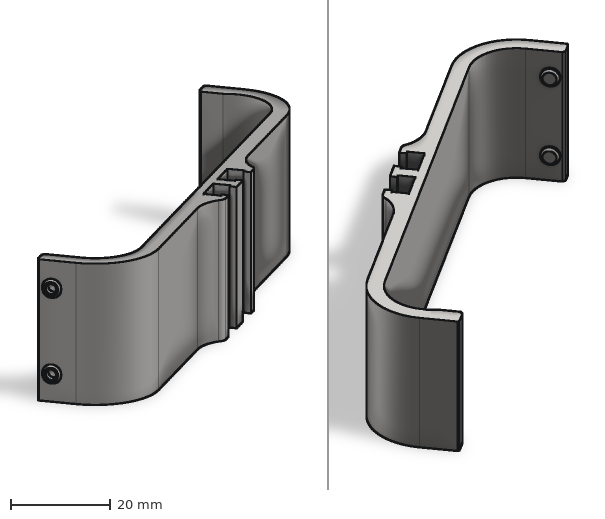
import cadquery as cq
import math

depth = 25.0
height = 30.0
total_length = 115.8
screw_tail = 0.5
half_length = (total_length - screw_tail) / 2

thickness = 3.6
wall_outer = 21.4
wall_inner = wall_outer - thickness
bend_radius = 13.3
bend_inner_radius = bend_radius - thickness
bend_start = wall_outer - bend_radius

pad_step = 0.5

outer_tip_chamfer = 0.3
inner_tip_chamfer = 0.6

slot_floor = 19.9
slot_near = 1.5
slot_far = 8.3
lip_start = 23.5
lip_overhang = 0.7
rail_flare_end = 24.0
rail_flare_half = 11.4
rail_face_half = 9.7
rail_flare_radius = 8.1
rail_nose_radius = 2.1

screw_diameter = 4.0
screw_x = 3.0
screw_edge_distance = 5.9
screw_head = 1.0
head_chamfer = 0.6
tail_end_diameter = 2.9
socket_diameter = 2.2
socket_depth = 1.7
socket_tip_angle = 90


def make_strip():
    """C-shaped strip: a flat wall with a rounded arm at each end."""
    bend_y = half_length - bend_radius
    diagonal = math.sqrt(0.5)
    outer_mid = bend_radius * diagonal
    inner_mid = bend_inner_radius * diagonal
    arm_inner = half_length - thickness
    pad_inner = arm_inner - pad_step
    pad_end = bend_start - math.sqrt(bend_inner_radius**2 - (bend_inner_radius - pad_step) ** 2)
    return (
        cq.Workplane("XY")
        .moveTo(outer_tip_chamfer, -half_length)
        .lineTo(bend_start, -half_length)
        .threePointArc((bend_start + outer_mid, -bend_y - outer_mid), (wall_outer, -bend_y))
        .lineTo(wall_outer, bend_y)
        .threePointArc((bend_start + outer_mid, bend_y + outer_mid), (bend_start, half_length))
        .lineTo(outer_tip_chamfer, half_length)
        .lineTo(0, half_length - outer_tip_chamfer)
        .lineTo(0, pad_inner + inner_tip_chamfer)
        .lineTo(inner_tip_chamfer, pad_inner)
        .lineTo(pad_end, pad_inner)
        .threePointArc((bend_start + inner_mid, bend_y + inner_mid), (wall_inner, bend_y))
        .lineTo(wall_inner, -bend_y)
        .threePointArc((bend_start + inner_mid, -bend_y - inner_mid), (bend_start, -arm_inner))
        .lineTo(inner_tip_chamfer, -arm_inner)
        .lineTo(0, -arm_inner - inner_tip_chamfer)
        .lineTo(0, -half_length + outer_tip_chamfer)
        .close()
        .extrude(height)
    )


def make_rail():
    """Rail body with concave flares that run out tangent to the wall."""
    flare_rise = rail_flare_end - wall_outer
    flare_run = math.sqrt(rail_flare_radius**2 - (rail_flare_radius - flare_rise) ** 2)
    rail_half = rail_flare_half + flare_run
    return (
        cq.Workplane("XY")
        .moveTo(slot_floor, -rail_half)
        .lineTo(wall_outer, -rail_half)
        .radiusArc((rail_flare_end, -rail_flare_half), rail_flare_radius)
        .radiusArc((depth, -rail_face_half), -rail_nose_radius)
        .lineTo(depth, rail_face_half)
        .radiusArc((rail_flare_end, rail_flare_half), -rail_nose_radius)
        .radiusArc((wall_outer, rail_half), rail_flare_radius)
        .lineTo(slot_floor, rail_half)
        .close()
        .extrude(height)
    )


def make_slot(side):
    """Undercut slot, narrowed by a lip on each side of its mouth."""
    profile = [
        (slot_floor, slot_near),
        (lip_start, slot_near),
        (lip_start, slot_near + lip_overhang),
        (depth, slot_near + lip_overhang),
        (depth, slot_far - lip_overhang),
        (lip_start, slot_far - lip_overhang),
        (lip_start, slot_far),
        (slot_floor, slot_far),
    ]
    return cq.Workplane("XY").polyline([(x, side * y) for x, y in profile]).close().extrude(height)


def make_screw(z):
    """Screw along Y, proud of both arm faces, with a tapered tail and a conical socket."""
    length = screw_tail + thickness + screw_head
    radius = screw_diameter / 2
    socket_radius = socket_diameter / 2
    socket_tip = socket_depth + socket_radius / math.tan(math.radians(socket_tip_angle / 2))
    half_section = [
        (0, socket_tip),
        (socket_radius, socket_depth),
        (socket_radius, 0),
        (tail_end_diameter / 2, 0),
        (radius, screw_tail),
        (radius, length - head_chamfer),
        (radius - head_chamfer, length),
        (0, length),
    ]
    screw = cq.Workplane("XY").polyline(half_section).close().revolve(360, (0, 0), (0, 1))
    return screw.translate((screw_x, -half_length - screw_tail, z))


def make_screw_hole(z):
    return (
        cq.Workplane("XZ", origin=(screw_x, -half_length + thickness, z))
        .circle(screw_diameter / 2)
        .extrude(thickness)
    )


result = make_strip().union(make_rail())
for side in (-1, 1):
    result = result.cut(make_slot(side))
for z in (screw_edge_distance, height - screw_edge_distance):
    result = result.cut(make_screw_hole(z)).union(make_screw(z))